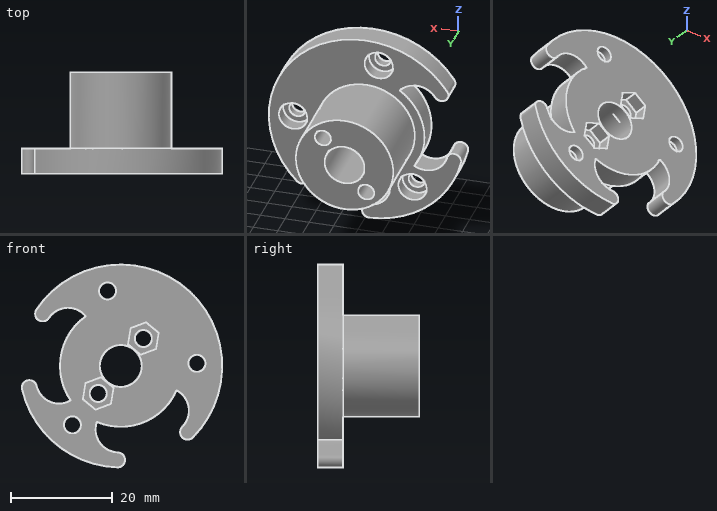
import cadquery as cq
import math

flange_radius = 20.0
flange_thickness = 5.0
hub_radius = 10.0
hub_length = 15.0
bore_diameter = 8.2

notch_floor_radius = 12.0
hook_width = 3.0
undercut_radius = 4.5
notches = [(146.3, 193.3), (268.0, 315.3)]

screw_diameter = 3.3
counterbore_diameter = 5.8
counterbore_depth = 3.0
mount_circle_radius = 15.0
mount_angles = [2.0, 100.0, 230.6]

nut_circle_radius = 7.0
nut_angles = [50.6, 230.6]
nut_across_flats = 5.6
nut_depth = 3.0
hexagon_half_angle = 30

total_length = flange_thickness + hub_length
hook_tip_radius = hook_width / 2
hook_inner_radius = flange_radius - hook_width
hook_center_radius = flange_radius - hook_tip_radius
undercut_center_radius = hook_inner_radius - undercut_radius
nut_across_corners = nut_across_flats / math.cos(math.radians(hexagon_half_angle))


def polar(radius, angle, center=(0.0, 0.0)):
    """Point (X, Z) at a radius and an angle in degrees around a center."""
    turn = math.radians(angle)
    return (center[0] + radius * math.cos(turn), center[1] + radius * math.sin(turn))


def triangle_angle(side_a, side_b, opposite):
    """Angle in degrees between two triangle sides, from the length of the third."""
    cosine = (side_a**2 + side_b**2 - opposite**2) / (2 * side_a * side_b)
    return math.degrees(math.acos(cosine))


floor_overrun = triangle_angle(undercut_center_radius, notch_floor_radius, undercut_radius)
undercut_sweep = 180 - triangle_angle(undercut_center_radius, undercut_radius, notch_floor_radius)


def hook_points(angle, into_rim):
    """Hook points from rim to notch floor; into_rim is +1 or -1, the turn towards solid rim."""
    undercut_center = polar(undercut_center_radius, angle)
    return [
        polar(flange_radius, angle),
        polar(hook_tip_radius, angle - into_rim * 90, polar(hook_center_radius, angle)),
        polar(hook_inner_radius, angle),
        polar(undercut_radius, angle + into_rim * undercut_sweep / 2, undercut_center),
        polar(notch_floor_radius, angle + into_rim * floor_overrun),
    ]


def add_notch(outline, start, end):
    """Continue the outline counterclockwise from the rim at start to the rim at end."""
    _, tip, inner, undercut, floor = hook_points(start, -1)
    outline = outline.threePointArc(tip, inner).threePointArc(undercut, floor)

    rim, tip, inner, undercut, floor = hook_points(end, 1)
    floor_middle = polar(notch_floor_radius, (start + end) / 2)
    outline = outline.threePointArc(floor_middle, floor)
    return outline.threePointArc(undercut, inner).threePointArc(tip, rim)


def make_flange():
    last_end = notches[-1][1] - 360
    outline = cq.Workplane("XZ").moveTo(*polar(flange_radius, last_end))
    for start, end in notches:
        rim_middle = polar(flange_radius, (last_end + start) / 2)
        outline = outline.threePointArc(rim_middle, polar(flange_radius, start))
        outline = add_notch(outline, start, end)
        last_end = end
    return outline.close().extrude(-flange_thickness)


def cylinder(radius, length, center=(0.0, 0.0), front=0.0):
    """Cylinder along +Y, starting at Y = front."""
    plane = cq.Workplane("XZ", origin=(0, front, 0))
    return plane.center(*center).circle(radius).extrude(-length)


def nut_pocket(angle):
    """Hexagonal pocket with one flat facing the bore."""
    hexagon = cq.Workplane("XZ").polygon(6, nut_across_corners).extrude(-nut_depth)
    hexagon = hexagon.rotate((0, 0, 0), (0, 1, 0), -(angle + hexagon_half_angle))
    center_x, center_z = polar(nut_circle_radius, angle)
    return hexagon.translate((center_x, 0, center_z))


def cut_mount_holes(body):
    seat = flange_thickness - counterbore_depth
    for angle in mount_angles:
        center = polar(mount_circle_radius, angle)
        body = body.cut(cylinder(screw_diameter / 2, flange_thickness, center))
        body = body.cut(cylinder(counterbore_diameter / 2, counterbore_depth, center, seat))
    return body


def cut_nut_screws(body):
    for angle in nut_angles:
        center = polar(nut_circle_radius, angle)
        body = body.cut(cylinder(screw_diameter / 2, total_length, center))
        body = body.cut(nut_pocket(angle))
    return body


result = make_flange().union(cylinder(hub_radius, total_length))
result = result.cut(cylinder(bore_diameter / 2, total_length))
result = cut_mount_holes(result)
result = cut_nut_screws(result)